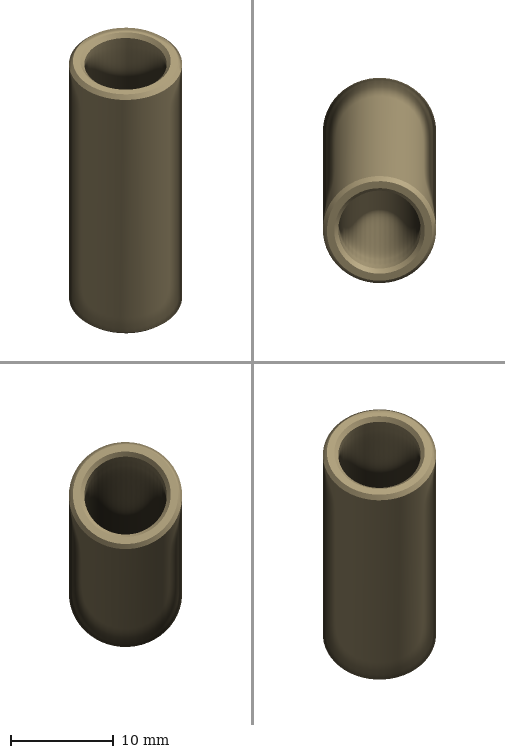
import cadquery as cq

length = 30.0
outer_diameter = 11.0
bore_diameter = 8.0
chamfer_size = 0.4

sleeve = (
    cq.Workplane("XY")
    .circle(outer_diameter / 2)
    .circle(bore_diameter / 2)
    .extrude(length)
)

result = sleeve.faces("<Z or >Z").edges().chamfer(chamfer_size)